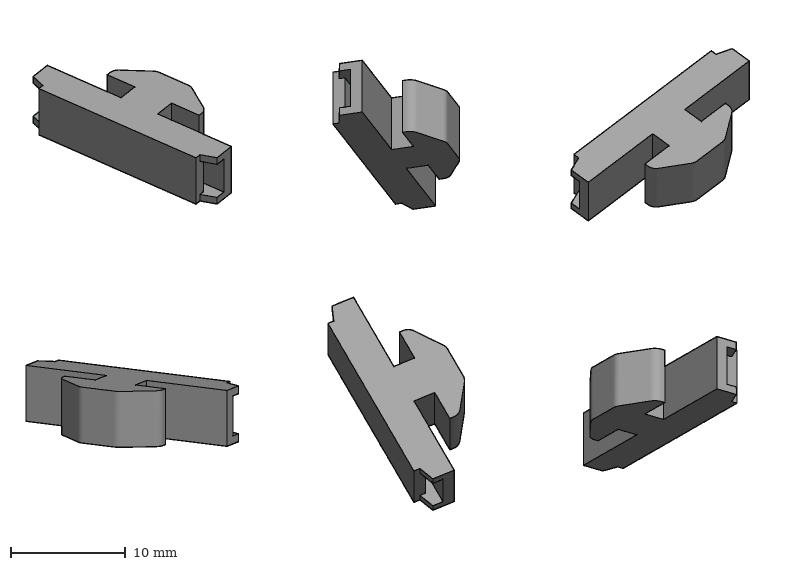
import cadquery as cq

length = 20.0
depth = 8.2
height = 5.0

bar_depth = 3.2
end_step = 1.45
step_inner_y = 0.58
step_outer_y = 1.12

neck_width = 4.0
head_width = 10.0
head_bottom_y = 5.2
head_shoulder_y = 6.1
head_top_width = 3.72
head_radius = 1.0

window_front_y = step_outer_y
window_back_y = 2.1
window_wall = 0.72


def make_bar():
    """Bar with a stepped, tapered front corner at each end."""
    half = length / 2
    step_x = half - end_step
    right_side = [
        (step_x, 0),
        (step_x, step_inner_y),
        (half, step_outer_y),
        (half, bar_depth),
    ]
    left_side = [(-x, y) for x, y in reversed(right_side)]
    return cq.Workplane("XY").polyline(right_side + left_side).close().extrude(height)


def make_neck():
    """Neck joining the bar to the head."""
    neck_length = head_bottom_y - bar_depth
    return (
        cq.Workplane("XY")
        .center(0, bar_depth + neck_length / 2)
        .rect(neck_width, neck_length)
        .extrude(height)
    )


def make_head():
    """Tapered head with its four rear corners rounded."""
    right_side = [
        (head_width / 2, head_bottom_y),
        (head_width / 2, head_shoulder_y),
        (head_top_width / 2, depth),
    ]
    left_side = [(-x, y) for x, y in reversed(right_side)]
    head = cq.Workplane("XY").polyline(right_side + left_side).close().extrude(height)
    rear_edges = cq.selectors.BoxSelector(
        (-head_width, head_bottom_y + 0.2, 0), (head_width, depth + 0.2, height)
    )
    return head.edges("|Z").edges(rear_edges).fillet(head_radius)


def make_window():
    """Lengthwise cutter, widened at both ends to open through the tapered corners."""
    window_height = height - 2 * window_wall
    window = (
        cq.Workplane("XY")
        .box(length, window_back_y - window_front_y, window_height)
        .translate((0, (window_front_y + window_back_y) / 2, height / 2))
    )
    for side in (-1, 1):
        mouth = (
            cq.Workplane("XY")
            .box(end_step, window_back_y, window_height)
            .translate((side * (length - end_step) / 2, window_back_y / 2, height / 2))
        )
        window = window.union(mouth)
    return window


result = make_bar().union(make_neck()).union(make_head()).cut(make_window())